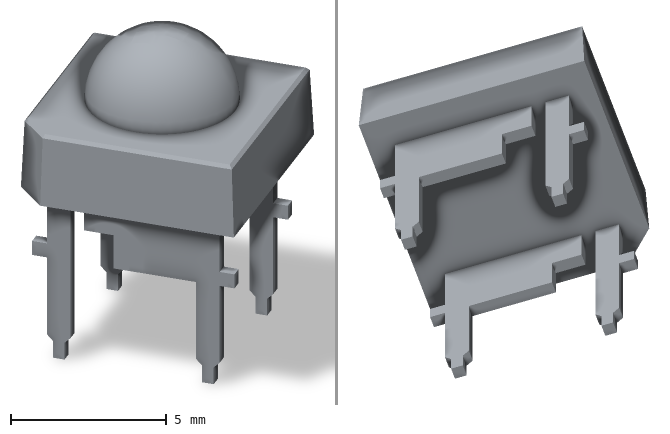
import cadquery as cq
import math

TOTAL_HEIGHT = 11.0

HOUSING_SIDE = 7.62
HOUSING_HEIGHT = 2.5
CORNER_CUT = 1.02
SIDE_INSET = 0.11
TOP_BEVEL = 0.11

LENS_RADIUS = 2.5

LEAD_PITCH = 5.08
LEAD_LENGTH = TOTAL_HEIGHT - HOUSING_HEIGHT - LENS_RADIUS
LEAD_WIDTH = 0.8
LEAD_THICKNESS = 0.4
TIP_WIDTH = 0.4
TIP_LENGTH = 0.6
TIP_TAPER = (LEAD_WIDTH - TIP_WIDTH) / 2
TAB_LENGTH = 0.51
TAB_HEIGHT = 0.51
TAB_BOTTOM = 2.42

PLATE_END = -1.67
PLATE_STEP = -0.67
PLATE_STEP_DEPTH = 1.22

CHIP_SIDE = 0.6
CHIP_OFFSET = 0.5
CHIP_CENTERS = [(-CHIP_OFFSET, -CHIP_OFFSET), (-CHIP_OFFSET, CHIP_OFFSET), (CHIP_OFFSET, 0)]


def housing_outline(z, inset):
    """Wire of the square with one cut corner, offset inward by inset."""
    half = HOUSING_SIDE / 2 - inset
    cut = CORNER_CUT - inset * (2 - math.sqrt(2))
    points = [(cut - half, -half), (half, -half), (half, half), (-half, half), (-half, cut - half)]
    return cq.Wire.makePolygon([cq.Vector(x, y, z) for x, y in points], close=True)


def make_housing():
    bottom = housing_outline(0, 0)
    shoulder = housing_outline(HOUSING_HEIGHT - TOP_BEVEL, SIDE_INSET)
    top = housing_outline(HOUSING_HEIGHT, SIDE_INSET + TOP_BEVEL)
    walls = cq.Solid.makeLoft([bottom, shoulder], True)
    bevel = cq.Solid.makeLoft([shoulder, top], True)
    return cq.Workplane(walls).union(cq.Workplane(bevel))


def make_half_ball():
    ball = cq.Workplane().sphere(LENS_RADIUS)
    upper_half = cq.Workplane().box(
        2 * LENS_RADIUS, 2 * LENS_RADIUS, LENS_RADIUS, centered=(True, True, False)
    )
    return ball.intersect(upper_half).translate((0, 0, HOUSING_HEIGHT))


def make_chip(x, y):
    column = (
        cq.Workplane(origin=(x, y, HOUSING_HEIGHT))
        .rect(CHIP_SIDE, CHIP_SIDE)
        .extrude(LENS_RADIUS)
    )
    return column.intersect(make_half_ball())


def make_lens(chips):
    lens = make_half_ball()
    for chip in chips:
        lens = lens.cut(chip)
    return lens


def extrude_profile(points, row_y):
    """Extrude an XZ outline to the lead thickness, centered on row_y."""
    return (
        cq.Workplane("XZ", origin=(0, row_y, 0))
        .polyline(points)
        .close()
        .extrude(LEAD_THICKNESS / 2, both=True)
    )


def make_lead(side, row_y):
    """Plain lead with its tab pointing outward; side is -1 or +1 along X."""
    center = LEAD_PITCH / 2
    inner = center - LEAD_WIDTH / 2
    outer = center + LEAD_WIDTH / 2
    tip_inner = center - TIP_WIDTH / 2
    tip_outer = center + TIP_WIDTH / 2
    tip_top = TIP_LENGTH - LEAD_LENGTH
    tab_end = outer + TAB_LENGTH
    tab_top = TAB_HEIGHT - TAB_BOTTOM
    profile = [
        (inner, 0),
        (outer, 0),
        (outer, tab_top),
        (tab_end, tab_top),
        (tab_end, -TAB_BOTTOM),
        (outer, -TAB_BOTTOM),
        (outer, tip_top + TIP_TAPER),
        (tip_outer, tip_top),
        (tip_outer, -LEAD_LENGTH),
        (tip_inner, -LEAD_LENGTH),
        (tip_inner, tip_top),
        (inner, tip_top + TIP_TAPER),
    ]
    return extrude_profile([(side * x, z) for x, z in profile], row_y)


def make_plate_lead(row_y):
    """+X lead joined to its stepped plate, whose underside is level with the tab's."""
    lead_center = LEAD_PITCH / 2
    plate = extrude_profile(
        [
            (lead_center, 0),
            (PLATE_END, 0),
            (PLATE_END, -PLATE_STEP_DEPTH),
            (PLATE_STEP, -PLATE_STEP_DEPTH),
            (PLATE_STEP, -TAB_BOTTOM),
            (lead_center, -TAB_BOTTOM),
        ],
        row_y,
    )
    return make_lead(1, row_y).union(plate)


housing = make_housing()
chips = [make_chip(x, y) for x, y in CHIP_CENTERS]
lens = make_lens(chips)

lead_rows = [-LEAD_PITCH / 2, LEAD_PITCH / 2]
plain_leads = [make_lead(-1, row_y) for row_y in lead_rows]
plate_leads = [make_plate_lead(row_y) for row_y in lead_rows]

bodies = [housing, lens, *chips, *plain_leads, *plate_leads]
result = cq.Compound.makeCompound([body.solids().val() for body in bodies])